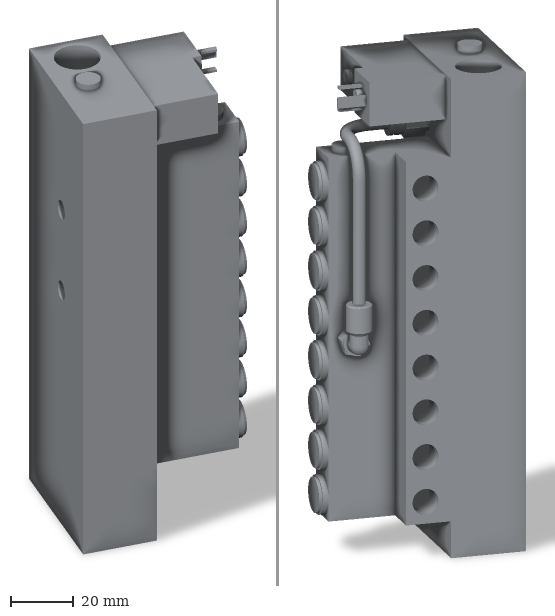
import cadquery as cq
import math

BASE_X = 50.0
BASE_Y = 25.0
BASE_Z = 160.0

SUPPLY_X = 10.5
SUPPLY_DIA = 15.0
SUPPLY_DEPTH = 48.8
STUD_X = 27.8
STUD_Y = 9.9
STUD_DIA = 8.0
STUD_HEIGHT = 2.5

MOUNT_X = 29.9
MOUNT_DIA = 6.5
MOUNT_Z_LOW = 87.0
MOUNT_SPACING = 29.9

BANK_Z_BOTTOM = 12.4
BANK_Z_TOP = 133.7
OUTLET_LAYER_Y = 40.1
VALVE_X_LEFT = 11.5
VALVE_X_RIGHT = 24.5
VALVE_X = (VALVE_X_LEFT + VALVE_X_RIGHT) / 2
VALVE_Y = 62.4

OVERLAP = 0.8

STATION_COUNT = 8
STATION_PITCH = 15.0
FIRST_STATION_Z = 19.7
OUTLET_DIA = 8.6
OUTLET_DEPTH = 9.8
OUTLET_Y = 33.6
CAP_DIA = 13.0
CAP_HEIGHT = 2.0
CAP_LIP_DIA = 11.7
CAP_LIP_HEIGHT = 1.0

CONNECTOR_X_LEFT = 6.2
CONNECTOR_X_RIGHT = 46.3
CONNECTOR_Z_BOTTOM = 144.8
CONNECTOR_Z_TOP = 159.4
CONNECTOR_Y_LOW = 47.3
CONNECTOR_Y_HIGH = 50.4
CONNECTOR_STEP_X = 22.3
PIN_X = 14.6
PIN_Z = 152.3
BOSS_DIA = 5.0
PIN_BOSS_HEIGHT = 2.1
PIN_THICKNESS = 0.8
PIN_WIDTH = 2.0
PIN_LENGTH = 7.8
PIN_OFFSET_Z = 3.7
GROUND_PIN_X = 10.4
GROUND_PIN_WIDTH = 3.5
GROUND_PIN_LENGTH = 9.5
SCREW_X = 36.0
SCREW_HEIGHT = 1.6

TUBE_DIA = 4.0
TUBE_BEND = 10.5
TUBE_START_X = 25.5
TUBE_Z = 139.3
TUBE_Y = 55.0
TUBE_END_X = 3.0

KNOB_DIA = 8.5
KNOB_HEIGHT = 2.1

COLLAR_DIA = 8.5
SPIGOT_DIA = 7.5
BASE_SPIGOT_LENGTH = 1.3
BASE_HEX_LENGTH = 7.2
BASE_COLLAR_LENGTH = 5.0
BASE_HEX_DIA = 10.5
BASE_HEX_TURN = -12.0
GROOVE_DIA = 8.0
GROOVE_WIDTH = 1.0
GROOVE_FROM_END = 1.5
ELBOW_Z = 73.0
ELBOW_DIA = 6.0
ELBOW_HEX_X = 6.5
ELBOW_HEX_LENGTH = 3.7
ELBOW_HEX_DIA = 9.9
ELBOW_HEX_TURN = -18.0
WASHER_THICKNESS = 0.6
NUT_Z_BOTTOM = 76.9
NUT_Z_TOP = 87.0
NUT_CHAMFER = 1.3
NUT_EDGE_CHAMFER = 0.3


def box(x, y, z):
    """Box from (low, high) limits on each axis."""
    size = (x[1] - x[0], y[1] - y[0], z[1] - z[0])
    return cq.Workplane("XY").box(*size, centered=False).translate((x[0], y[0], z[0]))


def rod(start, direction, diameter, length):
    """Round bar from a start point along a direction."""
    plane = cq.Plane(origin=start, normal=direction)
    return cq.Workplane(plane).circle(diameter / 2).extrude(length)


def hex_bar(start, direction, x_dir, turn, diameter, length):
    """Hexagonal bar, turned about its axis by an angle in degrees from x_dir."""
    plane = cq.Plane(origin=start, xDir=x_dir, normal=direction).rotated((0, 0, turn))
    return cq.Workplane(plane).polygon(6, diameter).extrude(length)


def make_base():
    base = box((0, BASE_X), (0, BASE_Y), (0, BASE_Z))
    supply_start = (SUPPLY_X, BASE_Y / 2, BASE_Z)
    base = base.cut(rod(supply_start, (0, 0, -1), SUPPLY_DIA, SUPPLY_DEPTH))
    for i in range(2):
        mount_start = (MOUNT_X, 0, MOUNT_Z_LOW + i * MOUNT_SPACING)
        base = base.cut(rod(mount_start, (0, 1, 0), MOUNT_DIA, BASE_Y))
    return base.union(rod((STUD_X, STUD_Y, BASE_Z), (0, 0, 1), STUD_DIA, STUD_HEIGHT))


def make_valve_bank():
    bank_z = (BANK_Z_BOTTOM, BANK_Z_TOP)
    cap_height = CAP_HEIGHT + CAP_LIP_HEIGHT
    bank = box((0, VALVE_X_RIGHT), (BASE_Y - OVERLAP, OUTLET_LAYER_Y), bank_z)
    bank = bank.union(box((VALVE_X_LEFT, VALVE_X_RIGHT), (OUTLET_LAYER_Y - OVERLAP, VALVE_Y), bank_z))
    for i in range(STATION_COUNT):
        z = FIRST_STATION_Z + i * STATION_PITCH
        bank = bank.union(rod((VALVE_X, VALVE_Y, z), (0, 1, 0), CAP_DIA, CAP_HEIGHT))
        bank = bank.union(rod((VALVE_X, VALVE_Y, z), (0, 1, 0), CAP_LIP_DIA, cap_height))
        bank = bank.cut(rod((0, OUTLET_Y, z), (1, 0, 0), OUTLET_DIA, OUTLET_DEPTH))
    knob = rod((VALVE_X, TUBE_Y, BANK_Z_TOP), (0, 0, 1), KNOB_DIA, KNOB_HEIGHT)
    return bank.union(knob)


def make_connector():
    z = (CONNECTOR_Z_BOTTOM, CONNECTOR_Z_TOP)
    y_low = BASE_Y - OVERLAP
    body = box((CONNECTOR_X_LEFT, CONNECTOR_X_RIGHT), (y_low, CONNECTOR_Y_LOW), z)
    body = body.union(box((CONNECTOR_X_LEFT, CONNECTOR_STEP_X), (y_low, CONNECTOR_Y_HIGH), z))
    body = body.union(rod((SCREW_X, CONNECTOR_Y_LOW, PIN_Z), (0, 1, 0), BOSS_DIA, SCREW_HEIGHT))
    body = body.union(rod((PIN_X, CONNECTOR_Y_HIGH, PIN_Z), (0, 1, 0), BOSS_DIA, PIN_BOSS_HEIGHT))

    pin = cq.Workplane("XY").box(PIN_WIDTH, PIN_LENGTH, PIN_THICKNESS)
    pin_y = CONNECTOR_Y_HIGH + PIN_LENGTH / 2
    for side in (-1, 1):
        body = body.union(pin.translate((PIN_X, pin_y, PIN_Z + side * PIN_OFFSET_Z)))
    ground_pin = cq.Workplane("XY").box(PIN_THICKNESS, GROUND_PIN_LENGTH, GROUND_PIN_WIDTH)
    ground_pin_y = CONNECTOR_Y_HIGH + GROUND_PIN_LENGTH / 2
    return body.union(ground_pin.translate((GROUND_PIN_X, ground_pin_y, PIN_Z)))


def make_tube():
    """Tube running +Y from the base, round to -X, then down to the elbow nut."""
    reach = TUBE_BEND * math.sqrt(0.5)
    inset = TUBE_BEND - reach
    first_bend_x = TUBE_START_X - TUBE_BEND
    second_bend_x = TUBE_END_X + TUBE_BEND
    path = cq.Wire.assembleEdges([
        cq.Edge.makeLine(
            cq.Vector(TUBE_START_X, BASE_Y, TUBE_Z),
            cq.Vector(TUBE_START_X, TUBE_Y - TUBE_BEND, TUBE_Z),
        ),
        cq.Edge.makeThreePointArc(
            cq.Vector(TUBE_START_X, TUBE_Y - TUBE_BEND, TUBE_Z),
            cq.Vector(TUBE_START_X - inset, TUBE_Y - inset, TUBE_Z),
            cq.Vector(first_bend_x, TUBE_Y, TUBE_Z),
        ),
        cq.Edge.makeLine(
            cq.Vector(first_bend_x, TUBE_Y, TUBE_Z),
            cq.Vector(second_bend_x, TUBE_Y, TUBE_Z),
        ),
        cq.Edge.makeThreePointArc(
            cq.Vector(second_bend_x, TUBE_Y, TUBE_Z),
            cq.Vector(TUBE_END_X + inset, TUBE_Y, TUBE_Z - inset),
            cq.Vector(TUBE_END_X, TUBE_Y, TUBE_Z - TUBE_BEND),
        ),
        cq.Edge.makeLine(
            cq.Vector(TUBE_END_X, TUBE_Y, TUBE_Z - TUBE_BEND),
            cq.Vector(TUBE_END_X, TUBE_Y, NUT_Z_BOTTOM),
        ),
    ])
    start = cq.Plane(origin=(TUBE_START_X, BASE_Y, TUBE_Z), normal=(0, 1, 0))
    return cq.Workplane(start).circle(TUBE_DIA / 2).sweep(cq.Workplane(path))


def make_base_fitting():
    hex_y = BASE_Y + BASE_SPIGOT_LENGTH
    collar_y = hex_y + BASE_HEX_LENGTH
    fitting = rod((TUBE_START_X, BASE_Y - OVERLAP, TUBE_Z), (0, 1, 0), SPIGOT_DIA, BASE_HEX_LENGTH)
    hex_start = (TUBE_START_X, hex_y, TUBE_Z)
    fitting = fitting.union(
        hex_bar(hex_start, (0, 1, 0), (1, 0, 0), BASE_HEX_TURN, BASE_HEX_DIA, BASE_HEX_LENGTH)
    )
    collar = rod((TUBE_START_X, collar_y, TUBE_Z), (0, 1, 0), COLLAR_DIA, BASE_COLLAR_LENGTH)
    groove_start = (TUBE_START_X, collar_y + BASE_COLLAR_LENGTH - GROOVE_FROM_END - GROOVE_WIDTH, TUBE_Z)
    groove = rod(groove_start, (0, 1, 0), COLLAR_DIA, GROOVE_WIDTH)
    groove = groove.cut(rod(groove_start, (0, 1, 0), GROOVE_DIA, GROOVE_WIDTH))
    return fitting.union(collar.cut(groove))


def make_elbow_fitting():
    centre = (TUBE_END_X, TUBE_Y, ELBOW_Z)
    fitting = cq.Workplane("XY").sphere(ELBOW_DIA / 2).translate(centre)
    fitting = fitting.union(rod(centre, (0, 0, 1), ELBOW_DIA, NUT_Z_TOP - OVERLAP - ELBOW_Z))
    fitting = fitting.union(rod(centre, (1, 0, 0), ELBOW_DIA, VALVE_X_LEFT + OVERLAP - TUBE_END_X))
    hex_start = (ELBOW_HEX_X, TUBE_Y, ELBOW_Z)
    fitting = fitting.union(
        hex_bar(hex_start, (1, 0, 0), (0, 0, 1), ELBOW_HEX_TURN, ELBOW_HEX_DIA, ELBOW_HEX_LENGTH)
    )
    fitting = fitting.union(rod(hex_start, (-1, 0, 0), COLLAR_DIA, WASHER_THICKNESS))
    nut_start = (TUBE_END_X, TUBE_Y, NUT_Z_BOTTOM)
    nut = rod(nut_start, (0, 0, 1), COLLAR_DIA, NUT_Z_TOP - NUT_Z_BOTTOM)
    nut = nut.faces("<Z").chamfer(NUT_CHAMFER)
    return fitting.union(nut.faces(">Z").chamfer(NUT_EDGE_CHAMFER))


result = (
    make_base()
    .union(make_valve_bank())
    .union(make_connector())
    .union(make_base_fitting())
    .union(make_tube())
    .union(make_elbow_fitting())
)